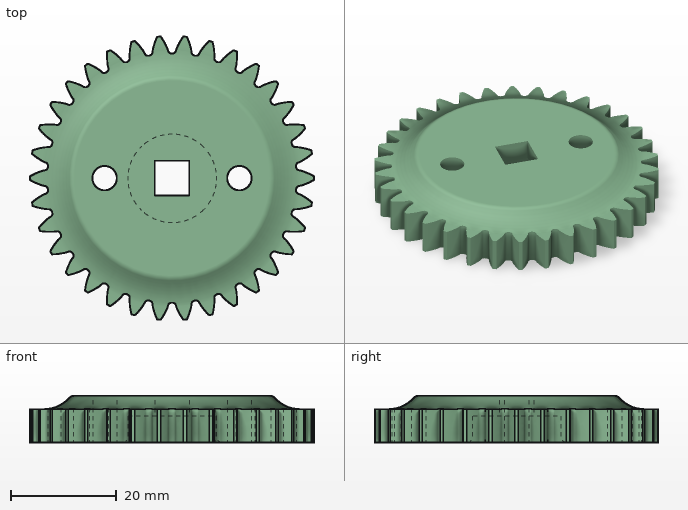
import cadquery as cq
import math

tooth_count = 34
tip_radius = 26.9
root_radius = 23.55
pitch_radius = 25.5
pressure_angle = math.radians(25)
pitch_tooth_thickness = 2.1
flank_start_radius = 23.9
flank_points = 7
cutter_overshoot = 0.25

rim_height = 6.35
total_height = 8.9

dome_foot_radius = 24.15
cove_radius = 6.3
top_round = 1.3

square_side = 6.5
bolt_hole_diameter = 4.55
bolt_hole_offset = 12.75
recess_radius = 8.4
recess_depth = 5.05
recess_mouth_fillet = 1.2


def arc_midpoint(center, radius, start_angle, end_angle):
    angle = (start_angle + end_angle) / 2
    return (center[0] + radius * math.cos(angle), center[1] + radius * math.sin(angle))


def make_blank():
    """Revolve the gear blank: flat rim disc with the coved dome on top."""
    cove_center = (dome_foot_radius, rim_height + cove_radius)
    round_center_z = total_height - top_round
    rise = cove_center[1] - round_center_z
    center_distance = cove_radius + top_round
    run = math.sqrt(center_distance**2 - rise**2)
    round_center = (dome_foot_radius - run, round_center_z)
    slope = math.atan2(rise, run)
    tangent_point = (
        round_center[0] + top_round * math.cos(slope),
        round_center[1] + top_round * math.sin(slope),
    )
    cove_middle = arc_midpoint(cove_center, cove_radius, math.pi + slope, 1.5 * math.pi)
    round_middle = arc_midpoint(round_center, top_round, slope, 0.5 * math.pi)
    profile = (
        cq.Workplane("XZ")
        .lineTo(tip_radius, 0)
        .lineTo(tip_radius, rim_height)
        .lineTo(dome_foot_radius, rim_height)
        .threePointArc(cove_middle, tangent_point)
        .threePointArc(round_middle, (round_center[0], total_height))
        .lineTo(0, total_height)
        .close()
    )
    return profile.revolve(360, (0, 0, 0), (0, 1, 0))


def involute(angle):
    return math.tan(angle) - angle


def gap_half_angle(radius):
    """Half the angle of the gap between two involute teeth at the given radius."""
    base_radius = pitch_radius * math.cos(pressure_angle)
    local_angle = math.acos(base_radius / radius)
    tooth_half_angle = pitch_tooth_thickness / (2 * pitch_radius)
    pitch_half_angle = math.pi / tooth_count - tooth_half_angle
    return pitch_half_angle + involute(local_angle) - involute(pressure_angle)


def polar_point(radius, angle):
    return (radius * math.cos(angle), radius * math.sin(angle))


def make_gap_cutter():
    """One tooth gap centred on +X, its flanks running smoothly into a round root."""
    outer_radius = tip_radius + cutter_overshoot
    step = (outer_radius - flank_start_radius) / (flank_points - 1)
    radii = [flank_start_radius + i * step for i in range(flank_points)]
    upper_flank = [polar_point(r, gap_half_angle(r)) for r in radii]
    lower_flank = [(x, -y) for x, y in upper_flank]
    outline = list(reversed(upper_flank)) + [(root_radius, 0)] + lower_flank
    return cq.Workplane("XY").spline(outline).close().extrude(total_height)


def cut_teeth(blank):
    gap = make_gap_cutter()
    pitch_angle = 360 / tooth_count
    gaps = [
        gap.rotate((0, 0, 0), (0, 0, 1), (i + 0.5) * pitch_angle).val()
        for i in range(tooth_count)
    ]
    return cq.Workplane(blank.val().cut(*gaps))


def make_recess():
    """Round pocket open at the bottom, flaring outward through a fillet at its mouth."""
    mouth_radius = recess_radius + recess_mouth_fillet
    fillet_center = (mouth_radius, recess_mouth_fillet)
    fillet_middle = arc_midpoint(fillet_center, recess_mouth_fillet, math.pi, 1.5 * math.pi)
    profile = (
        cq.Workplane("XZ")
        .lineTo(mouth_radius, 0)
        .threePointArc(fillet_middle, (recess_radius, recess_mouth_fillet))
        .lineTo(recess_radius, recess_depth)
        .lineTo(0, recess_depth)
        .close()
    )
    return profile.revolve(360, (0, 0, 0), (0, 1, 0))


def cut_openings(body):
    """Square drive hole, two bolt holes and the round recess in the underside."""
    square = cq.Workplane("XY").rect(square_side, square_side).extrude(total_height)
    bolt_holes = (
        cq.Workplane("XY")
        .pushPoints([(-bolt_hole_offset, 0), (bolt_hole_offset, 0)])
        .circle(bolt_hole_diameter / 2)
        .extrude(total_height)
    )
    return body.cut(square).cut(bolt_holes).cut(make_recess())


result = cut_openings(cut_teeth(make_blank()))